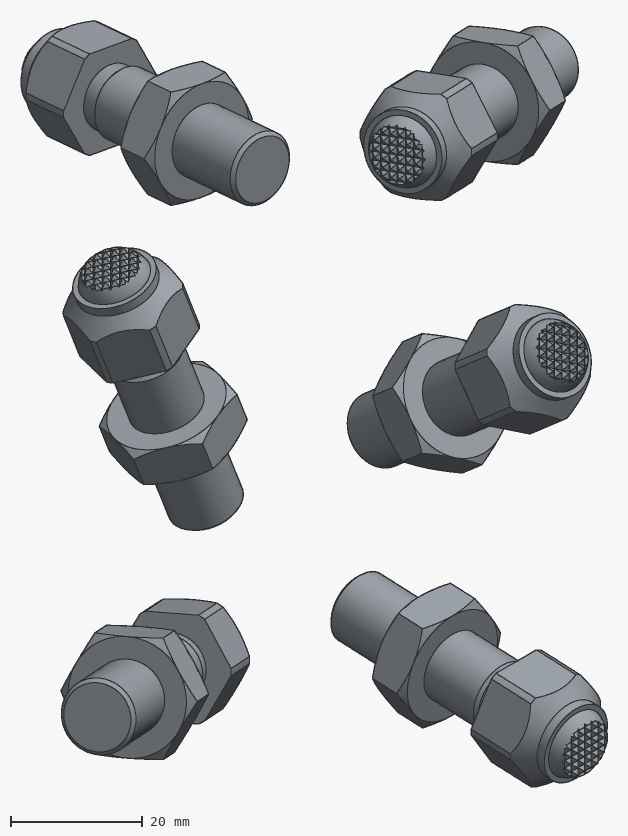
import cadquery as cq
import math

total_length = 50.7

thread_radius = 6.0
thread_chamfer = 0.6
neck_radius = 5.45
neck_length = 2.6
shank_length = 35.0

head_flats = 17.0
head_radius = 9.5
collar_radius = 6.65
collar_start = 2.6
collar_length = 1.6
head_end = total_length - shank_length
cone_start = collar_start + collar_length
cone_end = cone_start + head_radius - collar_radius

ball_radius = 6.0
ball_centre = 4.3
serration_pitch = 1.4
serration_depth = serration_pitch / 2
grooves_each_way = 7

nut_flats = 19.0
nut_height = 7.0
nut_gap = 14.0
nut_start = head_end + nut_gap
nut_chamfer_angle = 30.0


def corner_distance(across_flats):
    """Distance from the axis of a hexagon to its corners."""
    return across_flats / 2 / math.cos(math.pi / 6)


def hexagon(start, length, across_flats):
    """Hexagonal prism along X with corners on the Y axis and flats facing up and down."""
    across_corners = 2 * corner_distance(across_flats)
    return cq.Workplane("YZ", origin=(start, 0, 0)).polygon(6, across_corners).extrude(length)


def turned(profile):
    """Solid of revolution about X from (x, radius) points; the ends close on the axis."""
    closed = [(profile[0][0], 0)] + profile + [(profile[-1][0], 0)]
    return cq.Workplane("XY").polyline(closed).close().revolve(360, (0, 0, 0), (1, 0, 0))


def flattened_ball():
    """Ball with a flat face at X = 0, turned about the X axis."""
    face_radius = math.sqrt(ball_radius ** 2 - ball_centre ** 2)
    return (
        cq.Workplane("XY")
        .lineTo(0, face_radius)
        .threePointArc((ball_centre, ball_radius), (ball_centre + ball_radius, 0))
        .close()
        .revolve(360, (0, 0, 0), (1, 0, 0))
    )


def make_screw():
    """Hexagon head with a spherical socket, relief neck and chamfered shank."""
    collar = turned([(collar_start, collar_radius), (cone_start, collar_radius)])
    head_blank = turned([
        (cone_start, collar_radius),
        (cone_end, head_radius),
        (head_end, head_radius),
    ])
    head = head_blank.intersect(hexagon(cone_start, head_end - cone_start, head_flats))
    neck_end = head_end + neck_length
    neck_step = thread_radius - neck_radius
    shank = turned([
        (head_end, neck_radius),
        (neck_end, neck_radius),
        (neck_end + neck_step, thread_radius),
        (total_length - thread_chamfer, thread_radius),
        (total_length, thread_radius - thread_chamfer),
    ])
    return head.union(collar).union(shank).cut(flattened_ball())


def make_ball():
    """Flattened ball with two crossed sets of V grooves forming pyramids."""
    ball = flattened_ball()
    groove = (
        cq.Workplane("XY")
        .polyline([
            (0, -serration_pitch / 2),
            (serration_depth, 0),
            (0, serration_pitch / 2),
        ])
        .close()
        .extrude(ball_radius, both=True)
    )
    crossing_groove = groove.rotate((0, 0, 0), (1, 0, 0), 90)
    for index in range(grooves_each_way):
        offset = (index - (grooves_each_way - 1) / 2) * serration_pitch
        ball = ball.cut(groove.translate((0, offset, 0)))
        ball = ball.cut(crossing_groove.translate((0, 0, offset)))
    return ball


def make_nut():
    """Hexagon nut, corners chamfered on both faces down to the inscribed circle."""
    face_radius = nut_flats / 2
    corner_radius = corner_distance(nut_flats)
    chamfer_depth = (corner_radius - face_radius) * math.tan(math.radians(nut_chamfer_angle))
    nut_end = nut_start + nut_height
    blank = turned([
        (nut_start, face_radius),
        (nut_start + chamfer_depth, corner_radius),
        (nut_end - chamfer_depth, corner_radius),
        (nut_end, face_radius),
    ])
    bore = turned([(nut_start, thread_radius), (nut_end, thread_radius)])
    return hexagon(nut_start, nut_height, nut_flats).intersect(blank).cut(bore)


screw = make_screw()
ball = make_ball()
nut = make_nut()

result = cq.Compound.makeCompound([
    screw.solids().val(),
    ball.solids().val(),
    nut.solids().val(),
])